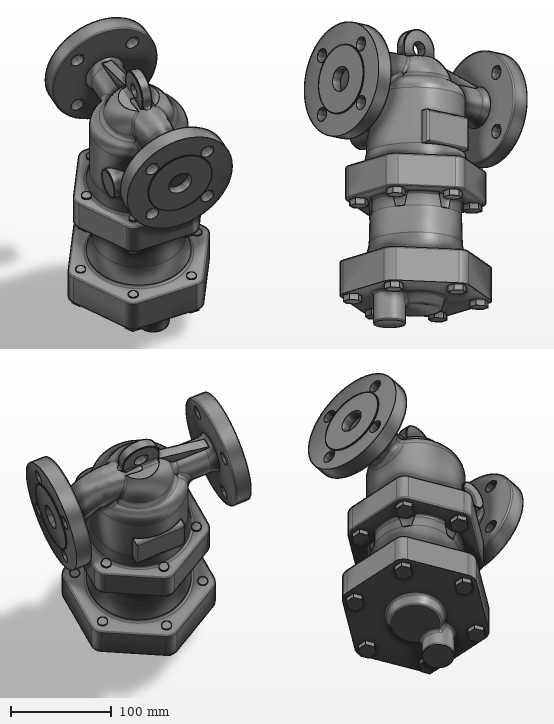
import cadquery as cq
import math


TOTAL_HEIGHT = 305.94
SELECT_MARGIN = 0.1

FACE_TO_FACE = 194.0
RAISED_FACE_DIA = 70.0
RAISED_FACE_HEIGHT = 1.0
RAISED_FACE_CHAMFER = 0.6
FLANGE_DIA = 115.0
FLANGE_THICKNESS = 17.0
FLANGE_BACK_ROUND = 1.5
FLANGE_HOLE_DIA = 14.0
FLANGE_BOLT_CIRCLE = 85.0
FLANGE_HOLE_COUNT = 4
FLANGE_FIRST_HOLE_ANGLE = 45.0
PORT_DIA = 25.0
PORT_DEPTH = 10.0
FLANGE_FACE_X = FACE_TO_FACE / 2 - RAISED_FACE_HEIGHT
FLANGE_BACK_X = FLANGE_FACE_X - FLANGE_THICKNESS

PIPE_RADIUS = 18.4
PIPE_FLARE_RADIUS = 21.0
INLET_FLARE_LENGTH = 8.0
OUTLET_FLARE_LENGTH = 4.0
OUTLET_RISE = 19.0
OUTLET_BEND_RADIUS = 57.0
OUTLET_BEND_SECTIONS = 6
OUTLET_END_X = 72.0
PIPE_BLEND = 8.0
OUTLET_BLEND = 4.0

BODY_RADIUS = 49.0
BODY_FOOT_RADIUS = 52.0
BODY_FOOT_TOP_Z = -61.7
SHOULDER_Z = -5.0
SHOULDER_ROUND = 15.5
DOME_CENTRE_Z = 5.3
DOME_RADIUS = 36.0
DOME_CAP_Z = 35.0
DOME_BLEND = 10.0
BLEND_OVERLAP = 0.1

UPPER_HEX_TOP = -76.7
UPPER_HEX_BOTTOM = -110.1
UPPER_HEX_FLATS = 125.0
UPPER_STUD_PITCH_RADIUS = 57.2
UPPER_STUD_HEIGHT = 1.8
LOWER_HEX_TOP = -173.7
LOWER_HEX_BOTTOM = -208.5
LOWER_HEX_FLATS = 135.0
LOWER_STUD_PITCH_RADIUS = 63.6
LOWER_STUD_HEIGHT = 1.2
HEX_CORNER_RADIUS = 12.5
HEX_EDGE_ROUND = 1.5
HEX_SEAT_ROUND = 2.5

BOLT_COUNT = 6
STUD_DIA = 10.0
BOLT_HEAD_FLATS = 16.0
BOLT_HEAD_HEIGHT = 6.3

NECK_TOP_RADIUS = 46.0
NECK_WAIST_RADIUS = 45.4
NECK_RADIUS = 46.2
NECK_FOOT_RADIUS = 52.0
NECK_FLARE_Z = -152.7
NECK_FLARE_MID = (47.9, -161.5)
RELIEF_BOTTOM_Z = -124.5
RELIEF_TOP_RADIUS = 14.2
RELIEF_BOTTOM_RADIUS = 12.9

LUG_CENTRE_Z = 45.8
LUG_RADIUS = 20.0
LUG_HOLE_DIA = 15.0
LUG_THICKNESS = 10.5
LUG_EDGE_CHAMFER = 0.8
LUG_FOOT_ROUND = 4.0
LUG_FOOT_LENGTH = 36.0
LUG_TOE_ROUND = 3.0
LUG_TOE_TOP_Z = 38.0
RIB_THICKNESS = 10.0
RIB_OUTER_X = -75.0
RIB_OUTER_Z = 19.8
RIB_INNER_X = -19.0
RIB_INNER_Z = 35.3

PLUG_DIA = 30.0
PLUG_X = 31.6
PLUG_Z = -36.8
PLUG_FACE_Y = -48.3
PLUG_CHAMFER = 0.7
PAD_WIDTH = 53.0
PAD_FACE_Y = 50.6
PAD_BOTTOM_Z = -62.2
PAD_TOP_Z = -28.7
PAD_EDGE_ROUND = 2.0

COVER_TOP_RADIUS = 29.5
COVER_BOTTOM_RADIUS = 25.5
COVER_BOTTOM_Z = -220.3
COVER_EDGE_ROUND = 2.0
DRAIN_DIA = 32.0
DRAIN_X = 33.8
DRAIN_BOTTOM_Z = LUG_CENTRE_Z + LUG_RADIUS - TOTAL_HEIGHT
DRAIN_TIP_HEIGHT = 1.8
DRAIN_TIP_INSET = 0.5
DRAIN_BLEND = 3.0
COVER_SEAT_ROUND = 2.3


def z_cylinder(radius, bottom, top, x=0.0, y=0.0):
    return cq.Workplane("XY", origin=(x, y, bottom)).circle(radius).extrude(top - bottom)


def bolt_points(pitch_radius):
    """Six points on a circle, the first one on +Y, in line with the hexagon corners."""
    step = 360.0 / BOLT_COUNT
    angles = [math.radians(90 + step * i) for i in range(BOLT_COUNT)]
    return [(pitch_radius * math.cos(a), pitch_radius * math.sin(a)) for a in angles]


def hexagon_prism(flats, bottom, top):
    corner_to_corner = flats / math.cos(math.radians(30))
    plane = cq.Workplane("XY", origin=(0, 0, bottom)).transformed(rotate=(0, 0, 30))
    return plane.polygon(6, corner_to_corner).extrude(top - bottom)


def hex_flange(flats, bottom, top, pitch_radius, stud_height, rounded_faces):
    """Hexagonal flange pair with stud ends on top and bolt heads underneath."""
    flange = hexagon_prism(flats, bottom, top).edges("|Z").fillet(HEX_CORNER_RADIUS)
    flange = flange.faces(rounded_faces).edges().fillet(HEX_EDGE_ROUND)
    head = hexagon_prism(BOLT_HEAD_FLATS, bottom - BOLT_HEAD_HEIGHT, bottom)
    stud = z_cylinder(STUD_DIA / 2, bottom, top + stud_height)
    fastener = head.union(stud)
    for x, y in bolt_points(pitch_radius):
        flange = flange.union(fastener.translate((x, y, 0)))
    return flange


def upper_body():
    """Cylinder with a flared foot, a rounded shoulder and a flat-topped spherical dome."""
    foot_z = UPPER_HEX_TOP + HEX_SEAT_ROUND
    seat_mid = HEX_SEAT_ROUND * (1 - math.sqrt(0.5))
    seat_radius = BODY_FOOT_RADIUS + HEX_SEAT_ROUND
    shoulder_mid = SHOULDER_ROUND * math.sqrt(0.5)
    shoulder_centre_x = BODY_RADIUS - SHOULDER_ROUND
    profile = (
        cq.Workplane("XZ")
        .moveTo(0, UPPER_HEX_BOTTOM)
        .lineTo(seat_radius, UPPER_HEX_BOTTOM)
        .lineTo(seat_radius, UPPER_HEX_TOP)
        .threePointArc((BODY_FOOT_RADIUS + seat_mid, UPPER_HEX_TOP + seat_mid), (BODY_FOOT_RADIUS, foot_z))
        .lineTo(BODY_RADIUS, BODY_FOOT_TOP_Z)
        .lineTo(BODY_RADIUS, SHOULDER_Z)
        .threePointArc(
            (shoulder_centre_x + shoulder_mid, SHOULDER_Z + shoulder_mid),
            (shoulder_centre_x, SHOULDER_Z + SHOULDER_ROUND),
        )
        .lineTo(0, SHOULDER_Z + SHOULDER_ROUND)
        .close()
    )
    body = profile.revolve(360, (0, 0, 0), (0, 1, 0))
    dome = cq.Workplane("XY", origin=(0, 0, DOME_CENTRE_Z)).sphere(DOME_RADIUS)
    above_cap = z_cylinder(DOME_RADIUS, DOME_CAP_Z, DOME_CENTRE_Z + DOME_RADIUS)
    return body.union(dome.cut(above_cap))


def point_towards(start, end, distance):
    """Point at the given distance from start on the line towards end."""
    ratio = distance / math.dist(start, end)
    return tuple(a + (b - a) * ratio for a, b in zip(start, end))


def dome_blend():
    """Ring that rounds the groove between dome and shoulder; it sinks slightly into both."""
    dome_centre = (0, DOME_CENTRE_Z)
    shoulder_centre = (BODY_RADIUS - SHOULDER_ROUND, SHOULDER_Z)
    dome_reach = DOME_RADIUS + DOME_BLEND
    shoulder_reach = SHOULDER_ROUND + DOME_BLEND
    centre_gap = math.dist(dome_centre, shoulder_centre)
    along = (dome_reach**2 - shoulder_reach**2 + centre_gap**2) / (2 * centre_gap)
    across = math.sqrt(dome_reach**2 - along**2)
    foot_x, foot_z = point_towards(dome_centre, shoulder_centre, along)
    unit_x = (shoulder_centre[0] - dome_centre[0]) / centre_gap
    unit_z = (shoulder_centre[1] - dome_centre[1]) / centre_gap
    blend_centre = (foot_x - across * unit_z, foot_z + across * unit_x)

    on_dome = point_towards(dome_centre, blend_centre, DOME_RADIUS - BLEND_OVERLAP)
    on_shoulder = point_towards(shoulder_centre, blend_centre, SHOULDER_ROUND - BLEND_OVERLAP)
    chord_mid = ((on_dome[0] + on_shoulder[0]) / 2, (on_dome[1] + on_shoulder[1]) / 2)
    arc_mid = point_towards(blend_centre, chord_mid, DOME_BLEND)
    return (
        cq.Workplane("XZ")
        .moveTo(0, on_dome[1])
        .lineTo(*on_dome)
        .threePointArc(arc_mid, on_shoulder)
        .lineTo(0, on_shoulder[1])
        .close()
        .revolve(360, (0, 0, 0), (0, 1, 0))
    )


def neck():
    """Slightly waisted neck that flares to its foot, relieved above for the bolt heads."""
    seat_mid = HEX_SEAT_ROUND * (1 - math.sqrt(0.5))
    top_z = UPPER_HEX_BOTTOM
    foot_z = LOWER_HEX_TOP
    seat_top = NECK_TOP_RADIUS + HEX_SEAT_ROUND
    seat_foot = NECK_FOOT_RADIUS + HEX_SEAT_ROUND
    body = (
        cq.Workplane("XZ")
        .moveTo(0, top_z)
        .lineTo(seat_top, top_z)
        .threePointArc(
            (NECK_TOP_RADIUS + seat_mid, top_z - seat_mid),
            (NECK_TOP_RADIUS, top_z - HEX_SEAT_ROUND),
        )
        .lineTo(NECK_WAIST_RADIUS, RELIEF_BOTTOM_Z)
        .lineTo(NECK_RADIUS, NECK_FLARE_Z)
        .threePointArc(NECK_FLARE_MID, (NECK_FOOT_RADIUS, foot_z + HEX_SEAT_ROUND))
        .threePointArc((NECK_FOOT_RADIUS + seat_mid, foot_z + seat_mid), (seat_foot, foot_z))
        .lineTo(0, foot_z)
        .close()
        .revolve(360, (0, 0, 0), (0, 1, 0))
    )
    relief = (
        cq.Workplane("XY", origin=(0, 0, RELIEF_BOTTOM_Z))
        .circle(RELIEF_BOTTOM_RADIUS)
        .workplane(offset=UPPER_HEX_BOTTOM - RELIEF_BOTTOM_Z)
        .circle(RELIEF_TOP_RADIUS)
        .loft()
    )
    for x, y in bolt_points(UPPER_STUD_PITCH_RADIUS):
        body = body.cut(relief.translate((x, y, 0)))
    return body


def inlet_pipe():
    return cq.Workplane("YZ").circle(PIPE_RADIUS).extrude(-FLANGE_BACK_X)


def outlet_pipe():
    """Pipe that drops along an arc; every upright section of it is a circle."""
    bend_start_x = OUTLET_END_X - math.sqrt(OUTLET_BEND_RADIUS**2 - (OUTLET_BEND_RADIUS - OUTLET_RISE) ** 2)
    spacing = (OUTLET_END_X - bend_start_x) / (OUTLET_BEND_SECTIONS - 1)
    centres = [(0, OUTLET_RISE), (bend_start_x / 2, OUTLET_RISE)]
    for i in range(OUTLET_BEND_SECTIONS):
        run = spacing * i
        drop = OUTLET_BEND_RADIUS - math.sqrt(OUTLET_BEND_RADIUS**2 - run**2)
        centres.append((bend_start_x + run, OUTLET_RISE - drop))
    along_x = cq.Vector(1, 0, 0)
    sections = [cq.Wire.makeCircle(PIPE_RADIUS, cq.Vector(x, 0, z), along_x) for x, z in centres]
    bend = cq.Workplane(obj=cq.Solid.makeLoft(sections))
    end = cq.Workplane("YZ", origin=(OUTLET_END_X, 0, 0)).circle(PIPE_RADIUS)
    return bend.union(end.extrude(FLANGE_BACK_X - OUTLET_END_X))


def pipe_flange():
    """Flange on the +X side: raised face and four bolt holes."""
    disc = cq.Workplane("YZ", origin=(FLANGE_BACK_X, 0, 0)).circle(FLANGE_DIA / 2).extrude(FLANGE_THICKNESS)
    disc = disc.faces("<X").edges().fillet(FLANGE_BACK_ROUND)
    holes = (
        cq.Workplane("YZ", origin=(FLANGE_BACK_X, 0, 0))
        .polarArray(FLANGE_BOLT_CIRCLE / 2, FLANGE_FIRST_HOLE_ANGLE, 360, FLANGE_HOLE_COUNT)
        .circle(FLANGE_HOLE_DIA / 2)
        .extrude(FLANGE_THICKNESS)
    )
    raised = cq.Workplane("YZ", origin=(FLANGE_FACE_X, 0, 0)).circle(RAISED_FACE_DIA / 2)
    raised = raised.extrude(RAISED_FACE_HEIGHT).faces(">X").chamfer(RAISED_FACE_CHAMFER)
    return disc.cut(holes).union(raised)


def pipe_port():
    return cq.Workplane("YZ", origin=(FACE_TO_FACE / 2, 0, 0)).circle(PORT_DIA / 2).extrude(-PORT_DEPTH)


def flared_hub(flare_length):
    """Hub behind the +X flange, flaring from the pipe to the flange along an arc."""
    start = FLANGE_BACK_X - flare_length
    widening = PIPE_FLARE_RADIUS - PIPE_RADIUS
    arc_radius = (flare_length**2 + widening**2) / (2 * widening)
    half_angle = math.asin(flare_length / arc_radius) / 2
    mid_x = start + arc_radius * math.sin(half_angle)
    mid_radius = PIPE_RADIUS + arc_radius * (1 - math.cos(half_angle))
    return (
        cq.Workplane("XY")
        .moveTo(start, 0)
        .lineTo(start, PIPE_RADIUS)
        .threePointArc((mid_x, mid_radius), (FLANGE_BACK_X, PIPE_FLARE_RADIUS))
        .lineTo(FLANGE_BACK_X, 0)
        .close()
        .revolve(360, (0, 0, 0), (1, 0, 0))
    )


def lifting_lug():
    """Upright eye on the dome."""
    eye_plane = cq.Workplane("XZ", origin=(0, LUG_THICKNESS / 2, LUG_CENTRE_Z))
    eye = eye_plane.circle(LUG_RADIUS).extrude(LUG_THICKNESS)
    post = cq.Workplane("XY", origin=(0, 0, DOME_CENTRE_Z)).rect(2 * LUG_RADIUS, LUG_THICKNESS)
    eye = eye.union(post.extrude(LUG_CENTRE_Z - DOME_CENTRE_Z))
    return eye.faces("<Y or >Y").edges().chamfer(LUG_EDGE_CHAMFER)


def lug_foot():
    """Hollow-rounded foot along both sides of the lug, standing on the dome's flat cap."""
    half_lug = LUG_THICKNESS / 2
    arc_inset = LUG_FOOT_ROUND * (1 - math.sqrt(0.5))
    top_z = DOME_CAP_Z + LUG_FOOT_ROUND
    half_foot = half_lug + LUG_FOOT_ROUND
    arc_mid = (half_lug + arc_inset, DOME_CAP_Z + arc_inset)
    half_profile = (
        cq.Workplane("YZ", origin=(-LUG_FOOT_LENGTH / 2, 0, 0))
        .moveTo(0, top_z)
        .lineTo(half_lug, top_z)
        .threePointArc(arc_mid, (half_foot, DOME_CAP_Z))
        .lineTo(0, DOME_CAP_Z)
        .close()
    )
    half = half_profile.extrude(LUG_FOOT_LENGTH)
    return half.union(half.mirror("XZ"))


def lug_hole():
    plane = cq.Workplane("XZ", origin=(0, LUG_THICKNESS, LUG_CENTRE_Z))
    return plane.circle(LUG_HOLE_DIA / 2).extrude(2 * LUG_THICKNESS)


def rib():
    """Sloping web from the inlet pipe up to the lug."""
    outline = [(RIB_OUTER_X, RIB_OUTER_Z), (RIB_INNER_X, RIB_INNER_Z), (RIB_INNER_X, 0), (RIB_OUTER_X, 0)]
    return cq.Workplane("XZ").polyline(outline).close().extrude(RIB_THICKNESS / 2, both=True)


def plug_boss():
    plane = cq.Workplane("XZ", origin=(PLUG_X, 0, PLUG_Z))
    return plane.circle(PLUG_DIA / 2).extrude(-PLUG_FACE_Y).faces("<Y").chamfer(PLUG_CHAMFER)


def label_pad():
    height = PAD_TOP_Z - PAD_BOTTOM_Z
    pad = cq.Workplane("XZ", origin=(0, 0, (PAD_TOP_Z + PAD_BOTTOM_Z) / 2)).rect(PAD_WIDTH, height)
    return pad.extrude(-PAD_FACE_Y).faces(">Y").edges().fillet(PAD_EDGE_ROUND)


def bottom_cover():
    """Conical cover under the lower flange with the drain pipe at its +X side."""
    cover = (
        cq.Workplane("XY", origin=(0, 0, COVER_BOTTOM_Z))
        .circle(COVER_BOTTOM_RADIUS)
        .workplane(offset=LOWER_HEX_BOTTOM - COVER_BOTTOM_Z)
        .circle(COVER_TOP_RADIUS)
        .loft()
        .faces("<Z")
        .edges()
        .fillet(COVER_EDGE_ROUND)
    )
    drain = z_cylinder(DRAIN_DIA / 2, DRAIN_BOTTOM_Z, LOWER_HEX_BOTTOM, DRAIN_X)
    cover = cover.union(drain.faces("<Z").chamfer(DRAIN_TIP_HEIGHT, DRAIN_TIP_INSET))
    half_drain = DRAIN_DIA / 2
    joint = cq.selectors.BoxSelector(
        (DRAIN_X - half_drain, -half_drain, COVER_BOTTOM_Z - SELECT_MARGIN),
        (COVER_TOP_RADIUS, half_drain, LOWER_HEX_BOTTOM - SELECT_MARGIN),
    )
    return cover.edges(joint).fillet(DRAIN_BLEND)


def casting_with_pipes():
    """Upper body joined to both pipes, with rounded inside corners where they meet."""
    casting = upper_body().union(inlet_pipe()).union(outlet_pipe())
    reach = PIPE_RADIUS + SELECT_MARGIN
    inlet_joint = cq.selectors.BoxSelector((-BODY_RADIUS, -reach, -reach), (-BODY_RADIUS / 2, reach, reach))
    casting = casting.edges(inlet_joint).fillet(PIPE_BLEND)
    outlet_joint = cq.selectors.BoxSelector(
        (BODY_RADIUS / 3, -reach, SHOULDER_Z),
        (BODY_RADIUS, reach, DOME_CAP_Z),
    )
    casting = casting.edges(outlet_joint).fillet(OUTLET_BLEND)
    return casting.union(dome_blend())


def top_half():
    """Casting with rib, lug, boss, label pad and the upper hexagonal flange."""
    half = casting_with_pipes().union(rib()).union(lifting_lug()).union(lug_foot())
    lug_toe = cq.selectors.BoxSelector(
        (LUG_RADIUS - SELECT_MARGIN, -LUG_THICKNESS / 2, DOME_CAP_Z),
        (LUG_RADIUS + SELECT_MARGIN, LUG_THICKNESS / 2, LUG_TOE_TOP_Z),
    )
    half = half.edges(lug_toe).edges("not(|Z)").fillet(LUG_TOE_ROUND)
    half = half.cut(lug_hole()).union(plug_boss()).union(label_pad())
    flange = hex_flange(
        UPPER_HEX_FLATS,
        UPPER_HEX_BOTTOM,
        UPPER_HEX_TOP,
        UPPER_STUD_PITCH_RADIUS,
        UPPER_STUD_HEIGHT,
        "<Z or >Z",
    )
    return half.union(flange)


def bottom_half():
    """Lower hexagonal flange with the bottom cover and drain pipe blended into it."""
    flange = hex_flange(
        LOWER_HEX_FLATS,
        LOWER_HEX_BOTTOM,
        LOWER_HEX_TOP,
        LOWER_STUD_PITCH_RADIUS,
        LOWER_STUD_HEIGHT,
        ">Z",
    )
    half = flange.union(bottom_cover())
    cover_reach = COVER_TOP_RADIUS + COVER_SEAT_ROUND
    drain_reach = DRAIN_X + DRAIN_DIA / 2 + COVER_SEAT_ROUND
    seat = cq.selectors.BoxSelector(
        (-cover_reach, -cover_reach, LOWER_HEX_BOTTOM - SELECT_MARGIN),
        (drain_reach, cover_reach, LOWER_HEX_BOTTOM + SELECT_MARGIN),
        boundingbox=True,
    )
    return half.edges(seat).fillet(COVER_SEAT_ROUND)


result = top_half().union(neck()).union(bottom_half())
for hub_length, turn in ((OUTLET_FLARE_LENGTH, 0), (INLET_FLARE_LENGTH, 180)):
    pipe_end = pipe_flange().union(flared_hub(hub_length)).cut(pipe_port())
    result = result.union(pipe_end.rotate((0, 0, 0), (0, 0, 1), turn))